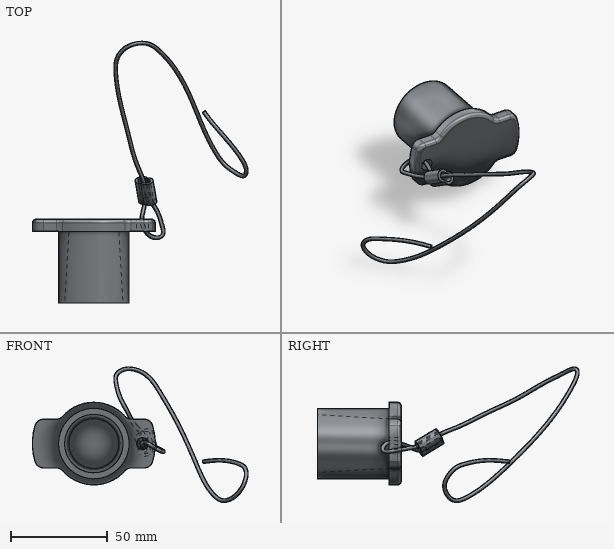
import cadquery as cq
import math


TUBE_DIAMETER = 36.5
TUBE_LENGTH = 37.2
BORE_MOUTH_DIAMETER = 30.2
BORE_FLOOR_DIAMETER = 25.8
BORE_DEPTH = TUBE_LENGTH
FLANGE_THICKNESS = 6.4
FLANGE_RADIUS = 21.4
EAR_TIP_RADIUS = 31.9
EAR_WIDTH = 25.4
EAR_BAR_LENGTH = 3 * EAR_TIP_RADIUS
EAR_ROOT_FILLET = 4.2
EAR_CORNER_FILLET = 4.7
ROOT_SELECTION_MARGIN = 0.7
FLANGE_EDGE_FILLET = 2.0
LANYARD_HOLE_DIAMETER = 6.1
LANYARD_HOLE_X = 25.2

FERRULE_BOTTOM = cq.Vector(28.0, 15.5, -2.7)
FERRULE_TOP = cq.Vector(26.0, 26.3, 3.8)
FERRULE_LENGTH = (FERRULE_TOP - FERRULE_BOTTOM).Length
LOBE_DIRECTION = cq.Vector(0.81, -0.21, 0.58)
LOBE_DIAMETER = 6.8
LOBE_SPACING = 3.4
FERRULE_SLOT_LENGTH = 6.9
FERRULE_SLOT_WIDTH = 4.1
FERRULE_PLANE = cq.Plane(FERRULE_BOTTOM, LOBE_DIRECTION, FERRULE_TOP - FERRULE_BOTTOM)

CORD_DIAMETER = 1.9
RETURN_STRAND_OFFSET = -1.6
RETURN_STRAND_INSERTION = FERRULE_LENGTH / 4
CORD_TAIL_POINTS = [
    (57.0, 62.0, -9.4),
    (66.0, 50.7, -8.7),
    (75.4, 39.2, -10.6),
    (78.0, 34.9, -12.3),
    (79.0, 31.3, -15.7),
    (77.6, 28.8, -21.2),
    (73.9, 30.1, -26.5),
    (67.4, 35.0, -29.6),
    (63.0, 41.1, -27.4),
    (53.2, 62.0, -10.9),
    (42.9, 82.9, 11.5),
    (34.0, 93.3, 26.9),
    (25.2, 97.5, 36.8),
    (16.8, 95.2, 38.7),
    (12.1, 89.5, 36.1),
    (11.4, 81.7, 32.1),
    (13.5, 67.3, 23.9),
    (17.8, 50.6, 15.9),
    (22.1, 35.1, 8.4),
]
CORD_LOOP_POINTS = [
    (25.6, 26.3, 4.6),
    (29.6, 15.5, -1.4),
    (31.5, 12.8, -1.9),
    (34.2, 7.0, -3.0),
    (35.5, 1.9, -3.8),
    (35.5, -2.2, -4.2),
    (32.5, -3.3, -2.7),
    (27.8, -1.1, 0.1),
    (25.2, 3.3, 0.7),
    (25.0, 6.8, -0.5),
    (25.8, 11.7, -2.0),
]


def cylinder_along_y(diameter, y_start, length):
    """A cylinder on the tube axis, from y_start towards +Y."""
    return cq.Workplane("XZ", origin=(0, y_start, 0)).circle(diameter / 2).extrude(-length)


def make_flange():
    disc = cylinder_along_y(2 * FLANGE_RADIUS, 0, FLANGE_THICKNESS)
    bar = cq.Workplane("XZ").rect(EAR_BAR_LENGTH, EAR_WIDTH).extrude(-FLANGE_THICKNESS)
    ears = bar.intersect(cylinder_along_y(2 * EAR_TIP_RADIUS, 0, FLANGE_THICKNESS))
    ears = ears.edges("|Y").fillet(EAR_CORNER_FILLET)
    flange = disc.union(ears)
    root_x = math.sqrt(FLANGE_RADIUS**2 - (EAR_WIDTH / 2) ** 2)
    for side in (-1, 1):
        roots = cq.selectors.BoxSelector(
            (side * root_x - ROOT_SELECTION_MARGIN, 0, -EAR_WIDTH),
            (side * root_x + ROOT_SELECTION_MARGIN, FLANGE_THICKNESS, EAR_WIDTH),
        )
        flange = flange.edges("|Y").edges(roots).fillet(EAR_ROOT_FILLET)
    return flange.faces(">Y").edges().fillet(FLANGE_EDGE_FILLET)


def make_cap():
    tube = cylinder_along_y(TUBE_DIAMETER, -TUBE_LENGTH, TUBE_LENGTH)
    bore = (
        cq.Workplane("XZ", origin=(0, -TUBE_LENGTH, 0))
        .circle(BORE_MOUTH_DIAMETER / 2)
        .workplane(offset=-BORE_DEPTH)
        .circle(BORE_FLOOR_DIAMETER / 2)
        .loft(ruled=True)
    )
    lanyard_hole = cylinder_along_y(LANYARD_HOLE_DIAMETER, 0, FLANGE_THICKNESS)
    lanyard_hole = lanyard_hole.translate((LANYARD_HOLE_X, 0, 0))
    return make_flange().union(tube).cut(bore).cut(lanyard_hole)


def ferrule_lobe(offset):
    return (
        cq.Workplane(FERRULE_PLANE)
        .center(offset, 0)
        .circle(LOBE_DIAMETER / 2)
        .extrude(FERRULE_LENGTH)
    )


def make_ferrule():
    slot = (
        cq.Workplane(FERRULE_PLANE)
        .slot2D(FERRULE_SLOT_LENGTH, FERRULE_SLOT_WIDTH)
        .extrude(FERRULE_LENGTH)
    )
    lobes = ferrule_lobe(-LOBE_SPACING / 2).union(ferrule_lobe(LOBE_SPACING / 2))
    return lobes.cut(slot)


def make_cord():
    return_strand = [
        FERRULE_PLANE.toWorldCoords((RETURN_STRAND_OFFSET, 0, height))
        for height in (0, RETURN_STRAND_INSERTION)
    ]
    points = [cq.Vector(*point) for point in CORD_TAIL_POINTS + CORD_LOOP_POINTS]
    path = cq.Edge.makeSpline(points + return_strand)
    free_end = cq.Plane(path.startPoint(), normal=path.tangentAt(0))
    return cq.Workplane(free_end).circle(CORD_DIAMETER / 2).sweep(cq.Workplane(path))


cap = make_cap()
ferrule = make_ferrule()
cord = make_cord()
result = cq.Compound.makeCompound(
    [cap.solids().val(), ferrule.solids().val(), cord.solids().val()]
)